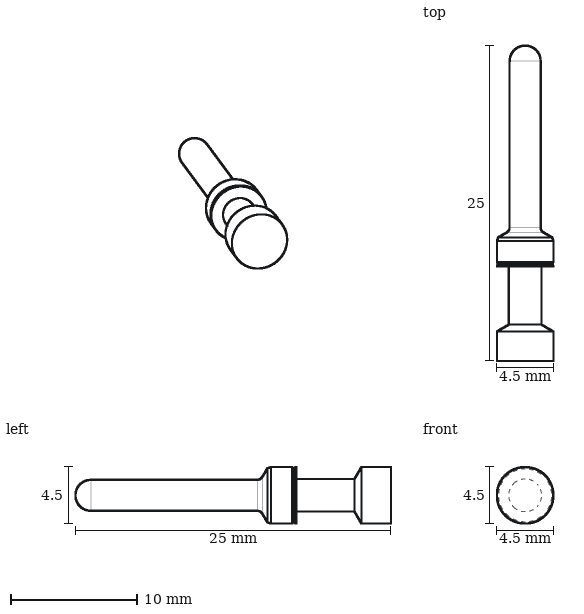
import cadquery as cq
import math


collar_radius = 4.5 / 2
neck_radius = 2.6 / 2
shaft_radius = 2.48 / 2

total_length = 25.0
head_length = 2.35
collar_start = 7.5
collar_straight_end = 9.5
tip_start = total_length - shaft_radius

cone_angle = math.radians(60)

groove_depth = 0.15
rim_width = 0.05

bevel_length = 0.3
bevel_depth = 0.1

root_fillet = 0.45


def arc_point(center, radius, angle):
    """Point on a circle in the (radius, axis) half-plane."""
    return (center[0] + radius * math.cos(angle), center[1] + radius * math.sin(angle))


neck_start = head_length + (collar_radius - neck_radius) / math.tan(cone_angle)

groove_start = collar_start + rim_width
groove_bottom = groove_start + groove_depth
groove_end = groove_bottom + groove_depth

cone_large_radius = collar_radius - bevel_depth
cone_start = collar_straight_end + bevel_length
cone_small_radius = shaft_radius + root_fillet * (1 - math.cos(cone_angle))
cone_length = (cone_large_radius - cone_small_radius) / math.tan(cone_angle)
cone_small_end = (cone_small_radius, cone_start + cone_length)
shaft_start = cone_small_end[1] + root_fillet * math.sin(cone_angle)
root_center = (shaft_radius + root_fillet, shaft_start)
root_middle = arc_point(root_center, root_fillet, math.pi + cone_angle / 2)

tip_middle = arc_point((0, tip_start), shaft_radius, math.pi / 4)


def half_profile():
    """Closed half-section of the pin, radius along X and pin axis along Y."""
    profile = cq.Workplane("XY").moveTo(0, 0)

    profile = profile.lineTo(collar_radius, 0).lineTo(collar_radius, head_length)
    profile = profile.lineTo(neck_radius, neck_start).lineTo(neck_radius, collar_start)

    profile = profile.lineTo(collar_radius, collar_start).lineTo(collar_radius, groove_start)
    profile = profile.lineTo(collar_radius - groove_depth, groove_bottom)
    profile = profile.lineTo(collar_radius, groove_end).lineTo(collar_radius, collar_straight_end)

    profile = profile.lineTo(cone_large_radius, cone_start).lineTo(*cone_small_end)
    profile = profile.threePointArc(root_middle, (shaft_radius, shaft_start))

    profile = profile.lineTo(shaft_radius, tip_start)
    return profile.threePointArc(tip_middle, (0, total_length)).close()


result = half_profile().revolve(360, (0, 0), (0, 1))